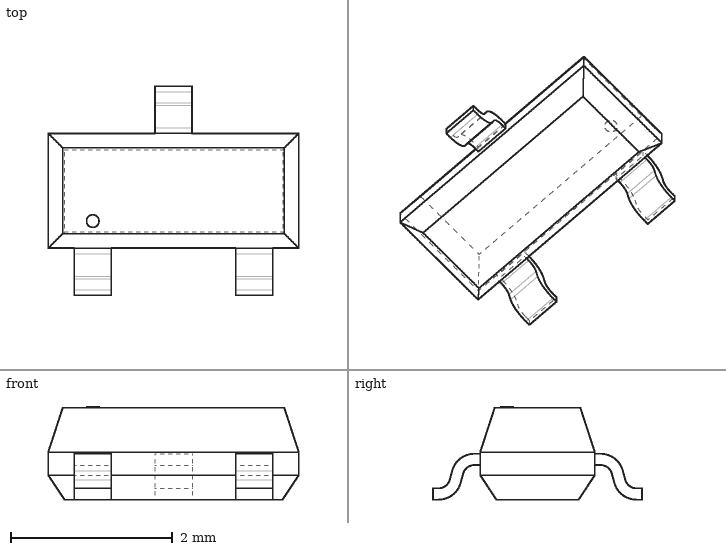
import cadquery as cq
import math

body_length = 3.1
body_width = 1.42
belt_bottom = 0.305
belt_top = 0.59
body_top = 1.14
bottom_inset = 0.2
top_inset = 0.18

mark_diameter = 0.155
mark_height = 0.01
mark_y = -0.375

overall_width = 2.59
lead_width = 0.46
lead_thickness = 0.143
lead_top = 0.57
lead_offset = 0.998
inner_radius = lead_thickness
bend_angle = 75.0

mark_x = -lead_offset


def frustum(base_z, base_inset, end_z, end_inset):
    """Tapered block between two rectangles inset from the body outline."""
    return (
        cq.Workplane("XY")
        .workplane(offset=base_z)
        .rect(body_length - 2 * base_inset, body_width - 2 * base_inset)
        .workplane(offset=end_z - base_z)
        .rect(body_length - 2 * end_inset, body_width - 2 * end_inset)
        .loft(ruled=True)
    )


def make_body():
    lower = frustum(0, bottom_inset, belt_bottom, 0)
    belt = frustum(belt_bottom, 0, belt_top, 0)
    upper = frustum(belt_top, 0, body_top, top_inset)
    return lower.union(belt).union(upper).solids()


def make_mark():
    return (
        cq.Workplane("XY", origin=(mark_x, mark_y, body_top))
        .circle(mark_diameter / 2)
        .extrude(mark_height)
    )


def make_rear_lead():
    """Lead centred on X = 0 that runs from the +Y wall of the body out to its foot."""
    angle = math.radians(bend_angle)
    outer_radius = inner_radius + lead_thickness
    middle_radius = (inner_radius + outer_radius) / 2
    wall_y = body_width / 2
    foot_end_y = overall_width / 2

    drop = lead_top - lead_thickness
    slope = (drop - 2 * middle_radius * (1 - math.cos(angle))) / math.sin(angle)
    bend_reach = 2 * middle_radius * math.sin(angle) + slope * math.cos(angle)
    flat = (foot_end_y - wall_y - bend_reach) / 2

    shoulder_y = wall_y + flat
    shoulder_z = lead_top - outer_radius
    foot_y = foot_end_y - flat
    foot_z = outer_radius

    def upper_bend(radius, turn):
        return (shoulder_y + radius * math.sin(turn), shoulder_z + radius * math.cos(turn))

    def lower_bend(radius, turn):
        return (foot_y - radius * math.sin(turn), foot_z - radius * math.cos(turn))

    return (
        cq.Workplane("YZ", origin=(-lead_width / 2, 0, 0))
        .moveTo(wall_y, lead_top)
        .lineTo(*upper_bend(outer_radius, 0))
        .threePointArc(upper_bend(outer_radius, angle / 2), upper_bend(outer_radius, angle))
        .lineTo(*lower_bend(inner_radius, angle))
        .threePointArc(lower_bend(inner_radius, angle / 2), lower_bend(inner_radius, 0))
        .lineTo(foot_end_y, lead_thickness)
        .lineTo(foot_end_y, 0)
        .lineTo(*lower_bend(outer_radius, 0))
        .threePointArc(lower_bend(outer_radius, angle / 2), lower_bend(outer_radius, angle))
        .lineTo(*upper_bend(inner_radius, angle))
        .threePointArc(upper_bend(inner_radius, angle / 2), upper_bend(inner_radius, 0))
        .lineTo(wall_y, lead_top - lead_thickness)
        .close()
        .extrude(lead_width)
    )


body = make_body()
mark = make_mark()

rear_lead = make_rear_lead()
front_lead = rear_lead.mirror("XZ")
leads = [rear_lead.val()]
for x in (-lead_offset, lead_offset):
    leads.append(front_lead.translate((x, 0, 0)).val())

result = cq.Compound.makeCompound([body.val(), mark.val(), *leads])